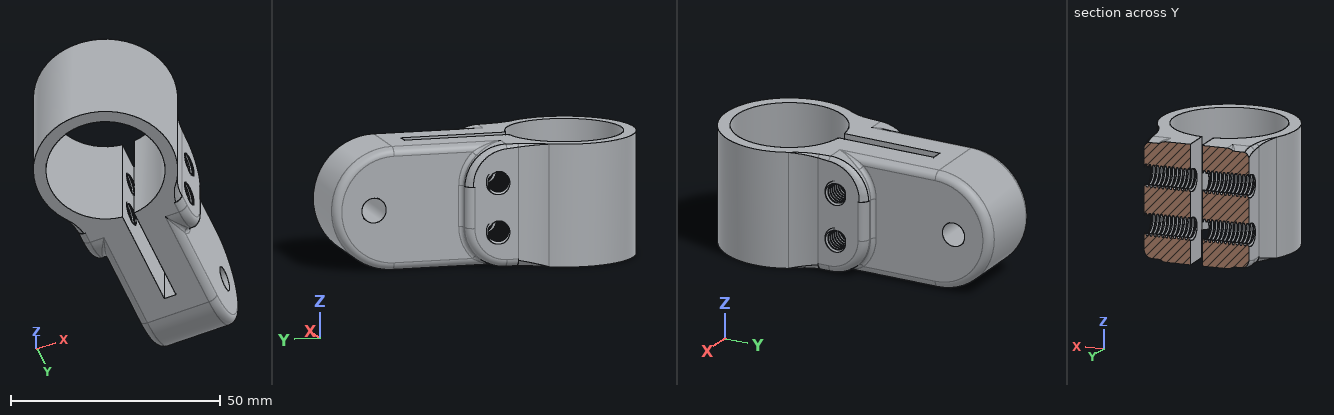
import cadquery as cq
import math

total_length = 77.25
height = 30.0
half_height = height / 2

ring_diameter = 34.5
ring_radius = ring_diameter / 2
bore_radius = 14.2

arm_half_width = 10.0
arm_tip_y = total_length - ring_radius
arm_end_center_y = arm_tip_y - half_height
edge_round = 2.0
slot_width = 3.0
slot_end_y = 40.0
pin_hole_diameter = 6.0
pin_hole_y = 50.0

pad_half_width = 13.5
pad_front_y = 28.0
pad_corner_radius = 10.0
pad_corner_y = pad_front_y - pad_corner_radius
pad_corner_z = half_height - pad_corner_radius
pad_foot_round = 1.0

blend_radius = 15.0
blend_center_x = pad_half_width + blend_radius
blend_center_y = math.sqrt((ring_radius + blend_radius) ** 2 - blend_center_x**2)
blend_angle = math.atan2(blend_center_y, blend_center_x)

upper_round = 1.15
fade_end_round = 0.1

round_reach = 1.5
round_lift = 0.1
round_middle = 0.33

bolt_y = 20.0
bolt_half_spacing = 6.0
thread_minor_diameter = 5.0
thread_major_diameter = 6.2
thread_pitch = 1.0
groove_mouth = 0.9
groove_root = 0.15
groove_inner_overlap = 0.2
groove_start_radius = thread_minor_diameter / 2 - groove_inner_overlap

overlap = 0.8


def blend_point(fraction):
    """Point (x, y) on the hollow arc, from the pad (0) to the ring (1)."""
    angle = math.pi + fraction * blend_angle
    return (
        blend_center_x + blend_radius * math.cos(angle),
        blend_center_y + blend_radius * math.sin(angle),
    )


def make_arm():
    outline = (
        cq.Workplane("YZ", origin=(-arm_half_width, 0, 0))
        .moveTo(0, -half_height)
        .lineTo(arm_end_center_y, -half_height)
        .threePointArc((arm_tip_y, 0), (arm_end_center_y, half_height))
        .lineTo(0, half_height)
        .close()
    )
    arm = outline.extrude(2 * arm_half_width)
    return arm.faces("<X or >X").edges("not <Y").fillet(edge_round)


def make_pad_blank():
    """Pad on the +X side with sharp edges."""
    return (
        cq.Workplane("YZ")
        .moveTo(blend_center_y, -half_height)
        .lineTo(pad_corner_y, -half_height)
        .radiusArc((pad_front_y, -pad_corner_z), -pad_corner_radius)
        .lineTo(pad_front_y, pad_corner_z)
        .radiusArc((pad_corner_y, half_height), -pad_corner_radius)
        .lineTo(blend_center_y, half_height)
        .close()
        .extrude(pad_half_width)
    )


def round_profile(plane, size):
    """Section that rounds an edge; the x and y axes of the plane point out of its two faces."""
    reach = round_reach * size
    lift = round_lift * size
    middle = round_middle * size
    return (
        cq.Workplane(plane)
        .moveTo(-reach, lift)
        .threePointArc((-middle, -middle), (lift, -reach))
        .lineTo(overlap, -reach)
        .lineTo(overlap, overlap)
        .lineTo(-reach, overlap)
        .close()
    )


def sweep_round(path, start_plane, start_size, end_plane, end_size):
    """Edge-rounding cutter whose size changes steadily along the path."""
    sections = round_profile(start_plane, start_size)
    sections.ctx.pendingWires.extend(round_profile(end_plane, end_size).ctx.pendingWires)
    return sections.sweep(path, multisection=True)


def upper_edge_plane(y):
    """Plane across the straight upper pad edge, facing the ring."""
    return cq.Plane((pad_half_width, y, half_height), (1, 0, 0), (0, -1, 0))


def make_corner_round():
    """Cutter along the upper front corner of the pad."""
    middle = pad_corner_radius * math.sqrt(0.5)
    path = (
        cq.Workplane("YZ", origin=(pad_half_width, 0, 0))
        .moveTo(pad_front_y, pad_corner_z)
        .threePointArc(
            (pad_corner_y + middle, pad_corner_z + middle),
            (pad_corner_y, half_height),
        )
    )
    front = cq.Plane((pad_half_width, pad_front_y, pad_corner_z), (1, 0, 0), (0, 0, 1))
    return sweep_round(path, front, edge_round, upper_edge_plane(pad_corner_y), upper_round)


def make_fading_round(start_y, start_size):
    """Cutter along the upper pad edge and its blend, fading out where the ring begins."""
    path = cq.Workplane("XY", origin=(0, 0, half_height)).moveTo(pad_half_width, start_y)
    if start_y > blend_center_y:
        path = path.lineTo(*blend_point(0))
    path = path.threePointArc(blend_point(0.5), blend_point(1))
    cos = math.cos(blend_angle)
    sin = math.sin(blend_angle)
    end = cq.Plane((*blend_point(1), half_height), (cos, sin, 0), (sin, -cos, 0))
    return sweep_round(path, upper_edge_plane(start_y), start_size, end, fade_end_round)


def make_pad():
    """Pad on the +X side: a constant round below, a shrinking one around the upper corner."""
    blank = make_pad_blank()
    upper_zone = (
        cq.Workplane("XY", origin=(0, 0, pad_corner_z))
        .rect(2 * (pad_half_width + overlap), 2 * (pad_front_y + overlap))
        .extrude(pad_corner_radius + overlap)
    )
    lower = blank.faces(">X").edges("not <Y").fillet(edge_round).cut(upper_zone)
    upper = blank.intersect(upper_zone).cut(make_corner_round())
    return lower.union(upper)


def make_blend():
    """Web with the hollow side between pad and ring on the +X side."""
    return (
        cq.Workplane("XY", origin=(0, 0, -half_height))
        .moveTo(0, blend_center_y)
        .lineTo(*blend_point(0))
        .threePointArc(blend_point(0.5), blend_point(1))
        .lineTo(0, 0)
        .close()
        .extrude(height)
    )


def make_clamp_side():
    """Ring with the pad and blend of the +X side."""
    side = (
        cq.Workplane("XY")
        .circle(ring_radius)
        .extrude(half_height, both=True)
        .union(make_blend())
        .union(make_pad())
    )
    upper_fade = make_fading_round(pad_corner_y, upper_round)
    lower_fade = make_fading_round(blend_center_y, edge_round).mirror("XY")
    return side.cut(upper_fade).cut(lower_fade)


def round_pad_feet(body):
    """Fill the straight inner corners between the pad fronts and the arm sides."""
    margin = 0.1
    corners = cq.selectors.BoxSelector(
        (-arm_half_width - margin, pad_front_y - margin, -pad_corner_z),
        (arm_half_width + margin, pad_front_y + margin, pad_corner_z),
    )
    return body.edges(corners).fillet(pad_foot_round)


def cross_hole(diameter, y, z):
    """Cutter for a hole along X through both pads."""
    return (
        cq.Workplane("YZ")
        .center(y, z)
        .circle(diameter / 2)
        .extrude(pad_half_width + overlap, both=True)
    )


def make_thread_groove():
    """Helical thread groove along X that runs out of both pads."""
    length = 2 * (pad_half_width + thread_pitch)
    groove_root_radius = thread_major_diameter / 2
    helix = cq.Wire.makeHelix(thread_pitch, length, groove_start_radius)
    groove = (
        cq.Workplane("XZ")
        .moveTo(groove_start_radius, -groove_mouth / 2)
        .lineTo(groove_root_radius, -groove_root / 2)
        .lineTo(groove_root_radius, groove_root / 2)
        .lineTo(groove_start_radius, groove_mouth / 2)
        .close()
        .sweep(cq.Workplane(helix), isFrenet=True)
    )
    return groove.translate((0, 0, -length / 2)).rotate((0, 0, 0), (0, 1, 0), 90)


clamp_side = make_clamp_side()
body = make_arm().union(clamp_side).union(clamp_side.mirror("YZ"))
body = round_pad_feet(body)

bore = cq.Workplane("XY").circle(bore_radius).extrude(half_height, both=True)
slot = cq.Workplane("XY").box(slot_width, slot_end_y, height).translate((0, slot_end_y / 2, 0))
body = body.cut(bore).cut(slot).cut(cross_hole(pin_hole_diameter, pin_hole_y, 0))

thread_groove = make_thread_groove()
for bolt_z in (-bolt_half_spacing, bolt_half_spacing):
    body = body.cut(thread_groove.translate((0, bolt_y, bolt_z)), clean=False)
    body = body.cut(cross_hole(thread_minor_diameter, bolt_y, bolt_z), clean=False)

result = body.solids()